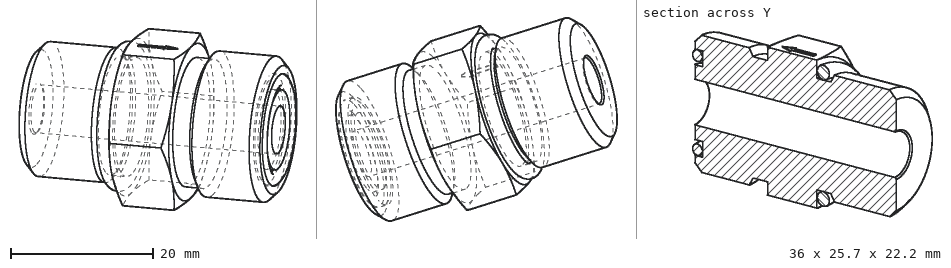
import cadquery as cq
import math


HEX_START = 14.0
HEX_LENGTH = 8.78
NECK_LENGTH = 2.48
FACE_SEAL_PROTRUSION = 0.43
OVERALL_LENGTH = 35.97
HEX_END = HEX_START + HEX_LENGTH
COUPLING_START = HEX_END + NECK_LENGTH
COUPLING_FACE = OVERALL_LENGTH - FACE_SEAL_PROTRUSION

BORE_DIAMETER = 6.75
STUD_DIAMETER = 19.05
STUD_NECK_DIAMETER = 16.8
COUPLING_NECK_DIAMETER = 18.27
COUPLING_DIAMETER = 20.65

HEX_ACROSS_FLATS = 22.23
HEX_ACROSS_CORNERS = HEX_ACROSS_FLATS / math.cos(math.radians(30))
HEX_CHAMFER_ANGLE = 20.0

END_CHAMFER = 1.22
RELIEF_CHAMFER_ANGLE = 60.0
BORE_CHAMFER = 0.25

STUD_NECK_START = 11.62
STUD_SEAL_SECTION = 2.2

FACE_SEAL_SECTION = 1.75
GROOVE_OUTER_DIAMETER = 15.85
GROOVE_INNER_DIAMETER = 11.3
GROOVE_DEPTH = FACE_SEAL_SECTION - FACE_SEAL_PROTRUSION

ARROW_START = 15.45
ARROW_LENGTH = 5.75
ARROW_HEAD_LENGTH = 1.95
ARROW_HEAD_WIDTH = 1.45
ARROW_SHAFT_WIDTH = 0.7
ARROW_CENTRE_Y = -1.4
ARROW_DEPTH = 0.1


def revolve_about_x(profile):
    """Turn a closed (x, radius) profile once round the X axis."""
    return profile.revolve(360, (0, 0, 0), (1, 0, 0))


def cylinder(start, length, diameter):
    """Cylinder on the X axis."""
    return cq.Workplane("YZ", origin=(start, 0, 0)).circle(diameter / 2).extrude(length)


def relief_length(large_diameter, small_diameter):
    """Axial length of the steep cone between a thread and its neck."""
    return (large_diameter - small_diameter) / 2 / math.tan(math.radians(RELIEF_CHAMFER_ANGLE))


def make_stud():
    """Stud thread with its end chamfer, relief cone and neck up to the hexagon."""
    radius = STUD_DIAMETER / 2
    neck_radius = STUD_NECK_DIAMETER / 2
    relief_start = STUD_NECK_START - relief_length(STUD_DIAMETER, STUD_NECK_DIAMETER)
    profile = cq.Workplane("XY").polyline([
        (0, 0),
        (0, radius - END_CHAMFER),
        (END_CHAMFER, radius),
        (relief_start, radius),
        (STUD_NECK_START, neck_radius),
        (HEX_START, neck_radius),
        (HEX_START, 0),
    ]).close()
    return revolve_about_x(profile)


def make_coupling():
    """Neck behind the hexagon and the coupling thread up to its sealing face."""
    radius = COUPLING_DIAMETER / 2
    neck_radius = COUPLING_NECK_DIAMETER / 2
    relief_end = COUPLING_START + relief_length(COUPLING_DIAMETER, COUPLING_NECK_DIAMETER)
    profile = cq.Workplane("XY").polyline([
        (HEX_END, 0),
        (HEX_END, neck_radius),
        (COUPLING_START, neck_radius),
        (relief_end, radius),
        (COUPLING_FACE - END_CHAMFER, radius),
        (COUPLING_FACE, radius - END_CHAMFER),
        (COUPLING_FACE, 0),
    ]).close()
    return revolve_about_x(profile)


def make_hexagon():
    """Hexagon with both ends turned to a shallow cone that only cuts the corners."""
    prism = (
        cq.Workplane("YZ", origin=(HEX_START, 0, 0))
        .polygon(6, HEX_ACROSS_CORNERS)
        .extrude(HEX_LENGTH)
    )
    flat_radius = HEX_ACROSS_FLATS / 2
    corner_radius = HEX_ACROSS_CORNERS / 2
    cone_length = (corner_radius - flat_radius) * math.tan(math.radians(HEX_CHAMFER_ANGLE))
    envelope = cq.Workplane("XY").polyline([
        (HEX_START, 0),
        (HEX_START, flat_radius),
        (HEX_START + cone_length, corner_radius),
        (HEX_END - cone_length, corner_radius),
        (HEX_END, flat_radius),
        (HEX_END, 0),
    ]).close()
    return prism.intersect(revolve_about_x(envelope))


def make_bore():
    """Through bore with a small chamfer at the stud end."""
    radius = BORE_DIAMETER / 2
    profile = cq.Workplane("XY").polyline([
        (0, 0),
        (0, radius + BORE_CHAMFER),
        (BORE_CHAMFER, radius),
        (COUPLING_FACE, radius),
        (COUPLING_FACE, 0),
    ]).close()
    return revolve_about_x(profile)


def make_face_groove():
    """Ring-shaped groove in the coupling face that holds the face seal."""
    floor = COUPLING_FACE - GROOVE_DEPTH
    outer = cylinder(floor, GROOVE_DEPTH, GROOVE_OUTER_DIAMETER)
    return outer.cut(cylinder(floor, GROOVE_DEPTH, GROOVE_INNER_DIAMETER))


def make_flow_arrow():
    """Arrow pointing along +X, sunk into the top flat."""
    tip = ARROW_START + ARROW_LENGTH
    head_start = tip - ARROW_HEAD_LENGTH
    half_shaft = ARROW_SHAFT_WIDTH / 2
    half_head = ARROW_HEAD_WIDTH / 2
    return (
        cq.Workplane("XY", origin=(0, ARROW_CENTRE_Y, HEX_ACROSS_FLATS / 2))
        .polyline([
            (ARROW_START, -half_shaft),
            (head_start, -half_shaft),
            (head_start, -half_head),
            (tip, 0),
            (head_start, half_head),
            (head_start, half_shaft),
            (ARROW_START, half_shaft),
        ])
        .close()
        .extrude(-ARROW_DEPTH)
    )


def make_fitting():
    """Fitting body: stud, hexagon and coupling in one piece, bored through."""
    blank = make_stud().union(make_hexagon()).union(make_coupling())
    return blank.cut(make_bore()).cut(make_face_groove()).cut(make_flow_arrow())


def make_seal_ring(centre_x, ring_radius, section_diameter):
    """Round-section ring; ring_radius runs to the middle of the section."""
    section = cq.Workplane("XY").center(centre_x, ring_radius).circle(section_diameter / 2)
    return section.revolve(360, (-centre_x, -ring_radius, 0), (0.35 - centre_x, -ring_radius, 0))


fitting = make_fitting()

stud_seal = make_seal_ring(
    HEX_START - STUD_SEAL_SECTION / 2,
    (STUD_NECK_DIAMETER + STUD_SEAL_SECTION) / 2,
    STUD_SEAL_SECTION,
)

face_seal = make_seal_ring(
    OVERALL_LENGTH - FACE_SEAL_SECTION / 2,
    (GROOVE_OUTER_DIAMETER - FACE_SEAL_SECTION) / 2,
    FACE_SEAL_SECTION,
)

result = cq.Compound.makeCompound([fitting.val(), stud_seal.val(), face_seal.val()])